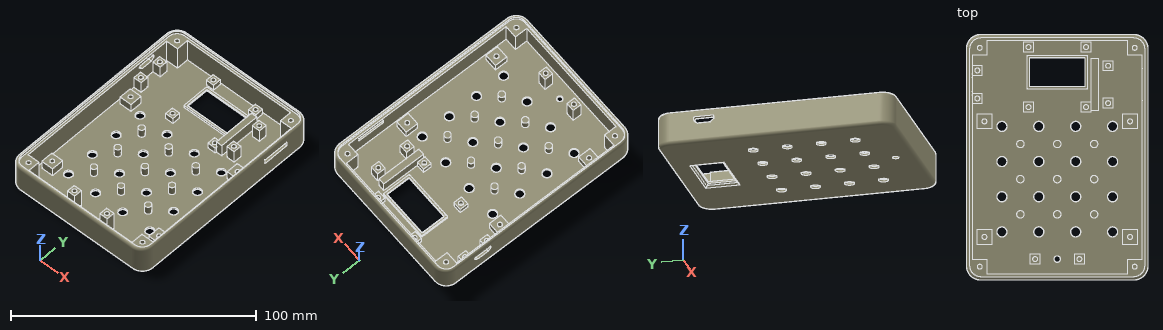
import cadquery as cq

width = 74.0
length = 100.0
height = 14.5
corner_radius = 6.0
edge_fillet = 1.5
wall = 2.5
floor = 1.0
lip_wall = 1.4
lip_depth = 1.5

cavity_width = width - 2 * wall
cavity_length = length - 2 * wall
ledge_z = height - lip_depth

post_size = 6.0
post_x = (cavity_width - post_size) / 2
post_y = (cavity_length - post_size) / 2
screw_diameter = 2.0
post_hole_depth = 8.0

window_width = 22.5
window_length = 11.6
window_y = 34.6
window_flare = 1.4
frame_wall = 1.0
frame_height = 1.2
display_boss_x = 11.7
display_boss_ys = (20.4, 44.8)
display_boss_height = 3.0
rib_width = 3.0
rib_length = 21.0
rib_height = 6.3
rib_x = 15.2
rib_y = 29.6

small_boss = 4.0
port_y = 29.6
usb_boss_x = -(cavity_width - small_boss) / 2
usb_boss_spacing = 11.4
usb_boss_height = 6.0
usb_width = 8.4
usb_height = 2.8
usb_bevel = 1.4
usb_corner = 0.5
usb_z = 9.8
card_boss_x = 20.7
card_boss_spacing = 15.2
card_boss_height = 6.5
card_width = 13.0
card_height = 2.1
card_z = 9.8

key_columns = 4
key_rows = 4
key_pitch_x = 15.0
key_pitch_y = 14.3
key_y = -8.9
key_diameter = 4.0
pin_diameter = 3.0
pin_height = 4.3
keypad_boss = 6.0
keypad_boss_spacing_x = 59.2
keypad_boss_spacing_y = 47.0
keypad_boss_height = 4.2

sensor_y = -41.4
sensor_diameter = 2.5
sensor_boss_x = 9.0
sensor_boss_height = 9.5


def mirrored(x, y):
    """The four points at plus and minus x and y."""
    return [(sx * x, sy * y) for sx in (-1, 1) for sy in (-1, 1)]


def on_floor(points):
    """A workplane on the cavity floor with the given points selected."""
    return cq.Workplane("XY").workplane(offset=floor).pushPoints(points)


def add_bosses(body, points, size, boss_height):
    """Square bosses on the floor, each with a blind screw hole down to the floor."""
    body = body.union(on_floor(points).rect(size, size).extrude(boss_height))
    return body.cut(on_floor(points).circle(screw_diameter / 2).extrude(boss_height))


def make_shell():
    shell = (
        cq.Workplane("XY")
        .rect(width, length)
        .extrude(height)
        .edges("|Z").fillet(corner_radius)
        .faces("<Z or >Z").edges().fillet(edge_fillet)
    )
    cavity = on_floor([(0, 0)]).rect(cavity_width, cavity_length).extrude(height)
    posts = on_floor(mirrored(post_x, post_y)).rect(post_size, post_size).extrude(height)
    recess = (
        cq.Workplane("XY")
        .workplane(offset=ledge_z)
        .rect(width - 2 * lip_wall, length - 2 * lip_wall)
        .extrude(height)
        .edges("|Z").fillet(corner_radius - lip_wall)
    )
    post_holes = (
        cq.Workplane("XY")
        .workplane(offset=ledge_z - post_hole_depth)
        .pushPoints(mirrored(post_x, post_y))
        .circle(screw_diameter / 2)
        .extrude(post_hole_depth)
    )
    return shell.cut(cavity.cut(posts)).cut(recess).cut(post_holes)


def add_display(body):
    frame = (
        on_floor([(0, window_y)])
        .rect(window_width + 2 * frame_wall, window_length + 2 * frame_wall)
        .extrude(frame_height)
    )
    window = (
        cq.Workplane("XY")
        .center(0, window_y)
        .rect(window_width + 2 * window_flare, window_length + 2 * window_flare)
        .workplane(offset=window_flare)
        .rect(window_width, window_length)
        .loft(ruled=True)
        .faces(">Z").workplane()
        .rect(window_width, window_length)
        .extrude(floor + frame_height - window_flare)
    )
    points = [(sx * display_boss_x, y) for sx in (-1, 1) for y in display_boss_ys]
    body = add_bosses(body.union(frame).cut(window), points, small_boss, display_boss_height)
    return body.union(on_floor([(rib_x, rib_y)]).rect(rib_width, rib_length).extrude(rib_height))


def add_connectors(body):
    usb_ys = [port_y + side * usb_boss_spacing / 2 for side in (-1, 1)]
    card_ys = [port_y + side * card_boss_spacing / 2 for side in (-1, 1)]
    body = add_bosses(body, [(usb_boss_x, y) for y in usb_ys], small_boss, usb_boss_height)
    body = add_bosses(body, [(card_boss_x, y) for y in card_ys], small_boss, card_boss_height)

    usb_port = (
        cq.Workplane("XY")
        .box(wall, usb_width, usb_height)
        .edges("|X and <Z").chamfer(usb_bevel)
        .edges("|X and >Z").fillet(usb_corner)
        .translate((-(width - wall) / 2, port_y, usb_z))
    )
    card_slot = (
        cq.Workplane("XY")
        .box(wall, card_width, card_height)
        .translate(((width - wall) / 2, port_y, card_z))
    )
    return body.cut(usb_port).cut(card_slot)


def add_keypad(body):
    keys = (
        cq.Workplane("XY")
        .center(0, key_y)
        .rarray(key_pitch_x, key_pitch_y, key_columns, key_rows)
        .circle(key_diameter / 2)
        .extrude(floor)
    )
    pins = (
        cq.Workplane("XY")
        .workplane(offset=floor)
        .center(0, key_y)
        .rarray(key_pitch_x, key_pitch_y, key_columns - 1, key_rows - 1)
        .circle(pin_diameter / 2)
        .extrude(pin_height)
    )
    offsets = mirrored(keypad_boss_spacing_x / 2, keypad_boss_spacing_y / 2)
    points = [(x, key_y + y) for x, y in offsets]
    return add_bosses(body.cut(keys).union(pins), points, keypad_boss, keypad_boss_height)


def add_sensor(body):
    points = [(side * sensor_boss_x, sensor_y) for side in (-1, 1)]
    body = add_bosses(body, points, small_boss, sensor_boss_height)
    hole = cq.Workplane("XY").center(0, sensor_y).circle(sensor_diameter / 2).extrude(floor)
    return body.cut(hole)


result = add_sensor(add_keypad(add_connectors(add_display(make_shell()))))